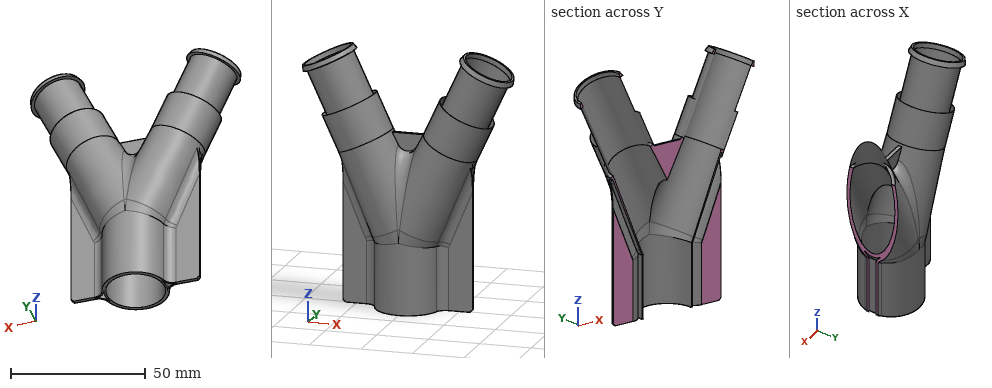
import cadquery as cq
import math

branch_tilt = 25.0
mitre_tilt = branch_tilt / 2
junction_height = 27.9
branch_length = 74.0
pipe_length = 20.0
sleeve_length = 15.0
sleeve_top = branch_length - pipe_length
sleeve_floor = sleeve_top - sleeve_length
taper_start = 4.8

stem_diameter = 25.1
stem_bore = 22.3
sleeve_diameter = 22.3
sleeve_bore = 22.1
pipe_diameter = 19.1
pipe_bore = 18.9
lip_diameter = 21.9
lip_end_diameter = 20.6
lip_height = 2.0
crotch_radius = 4.1

fin_width = 50.3
fin_height = 67.2
fin_thickness = 1.5
fin_chamfer = 1.0
fin_fillet = 4.1

recess_inset = 0.7
recess_overrun = 0.4

tolerance = 0.01
reach = 149.0


def along_branch(solid):
    """Move a solid built along +Z onto the axis of the +X branch."""
    tilted = solid.rotate((0, 0, 0), (0, 1, 0), branch_tilt)
    return tilted.translate((0, 0, junction_height))


def mirrored_pair(solid):
    return solid.union(solid.mirror("YZ"))


def rod(diameter, bottom, top):
    return cq.Workplane("XY").workplane(offset=bottom).circle(diameter / 2).extrude(top - bottom)


def cone(bottom_diameter, top_diameter, bottom, top):
    profile = [(0, bottom), (bottom_diameter / 2, bottom), (top_diameter / 2, top), (0, top)]
    return cq.Workplane("XZ").polyline(profile).close().revolve(360, (0, 0), (0, 1))


def prism(points):
    """Extrude an XZ outline through the whole depth of the part."""
    return cq.Workplane("XZ").polyline(points).close().extrude(reach, both=True)


mitre_drop = reach * math.tan(math.radians(mitre_tilt))
junction = (0, junction_height)
mitre_end = (reach, junction_height - mitre_drop)
branch_space = prism([junction, mitre_end, (reach, reach), (0, reach)])
stem_space = prism([junction, mitre_end, (reach, -reach), (-reach, -reach), (-reach, mitre_end[1])])


def fork(stem, branch):
    """Join a stem and two branches, mitred where they meet."""
    trimmed_branch = along_branch(branch).intersect(branch_space)
    return stem.intersect(stem_space).union(mirrored_pair(trimmed_branch))


def fin_plate():
    plate = cq.Workplane("XY").box(fin_width, fin_thickness, fin_height, centered=(True, True, False))
    return plate.faces("<Z").edges("|Y").chamfer(fin_chamfer)


def blend_outline(plane, round_diameter, inset):
    """Add a wedge from the axis to the fin, with concave arcs tangent to both, then inset it."""
    radius = fin_fillet + inset
    half_fin = fin_thickness / 2 - inset
    round_radius = round_diameter / 2 - inset
    centre_y = half_fin + radius
    centre_x = math.sqrt((round_radius + radius) ** 2 - centre_y**2)
    angle = math.atan2(centre_y, centre_x)
    touch = (round_radius * math.cos(angle), round_radius * math.sin(angle))
    middle_angle = (angle + math.pi / 2) / 2
    middle = (centre_x - radius * math.cos(middle_angle), centre_y - radius * math.sin(middle_angle))
    outline = plane.moveTo(0, 0).lineTo(*touch).threePointArc(middle, (centre_x, half_fin))
    outline = outline.lineTo(centre_x, -half_fin)
    return outline.threePointArc((middle[0], -middle[1]), (touch[0], -touch[1])).close()


def fin_blends(inset, half_width):
    """Blends on both sides: along the stem, then tapering along the branch."""
    ground = cq.Workplane("XY")
    stem = blend_outline(ground, stem_diameter, inset).extrude(2 * junction_height)
    lower = blend_outline(ground.workplane(offset=-junction_height), stem_diameter, inset)
    lower = lower.extrude(junction_height + taper_start)
    upper = blend_outline(ground.workplane(offset=taper_start), stem_diameter, inset)
    upper = upper.workplane(offset=sleeve_floor - taper_start)
    upper = blend_outline(upper, sleeve_diameter, inset).loft(ruled=True)
    branch = along_branch(lower.union(upper)).intersect(branch_space)
    fin_space = cq.Workplane("XY").box(2 * half_width, reach, reach, centered=(True, True, False))
    return mirrored_pair(stem.intersect(stem_space).union(branch).intersect(fin_space))


def branch_end():
    """Thin sleeve around a longer pipe with a tapered lip."""
    lip_bottom = branch_length - lip_height
    outline = [
        (0, sleeve_floor),
        (pipe_diameter / 2, sleeve_floor),
        (pipe_diameter / 2, lip_bottom),
        (lip_diameter / 2, lip_bottom),
        (lip_end_diameter / 2, branch_length),
        (0, branch_length),
    ]
    pipe = cq.Workplane("XZ").polyline(outline).close().revolve(360, (0, 0), (0, 1))
    groove = rod(sleeve_bore, sleeve_floor, sleeve_top).cut(pipe)
    return rod(sleeve_diameter, sleeve_floor, sleeve_top).union(pipe), groove


def tapered_fork(stem_size, branch_size):
    """A stem and two branches that each narrow from the stem size to the branch size."""
    stem = rod(stem_size, 0, 2 * junction_height)
    branch = rod(stem_size, -junction_height, taper_start)
    return fork(stem, branch.union(cone(stem_size, branch_size, taper_start, sleeve_floor)))


def outer_body():
    body = tapered_fork(stem_diameter, sleeve_diameter)
    above_junction = junction_height + tolerance
    crease = cq.selectors.BoxSelector((-tolerance, -reach, above_junction), (tolerance, reach, reach))
    return body.edges(crease).fillet(crotch_radius)


def fin_recess():
    """The space inside the blends, down to a floor just below the round walls."""
    floor = tapered_fork(stem_diameter - 2 * recess_inset, sleeve_diameter - 2 * recess_inset)
    return fin_blends(recess_inset, fin_width / 2 + recess_overrun).cut(floor)


ends, groove = branch_end()
pipe_hole = rod(pipe_bore, sleeve_floor, branch_length)
branch_openings = along_branch(groove.union(pipe_hole))

result = outer_body()
result = result.union(fin_blends(0, fin_width / 2)).union(fin_plate())
result = result.union(mirrored_pair(along_branch(ends))).cut(fin_recess())
result = result.cut(mirrored_pair(branch_openings)).cut(tapered_fork(stem_bore, pipe_bore))